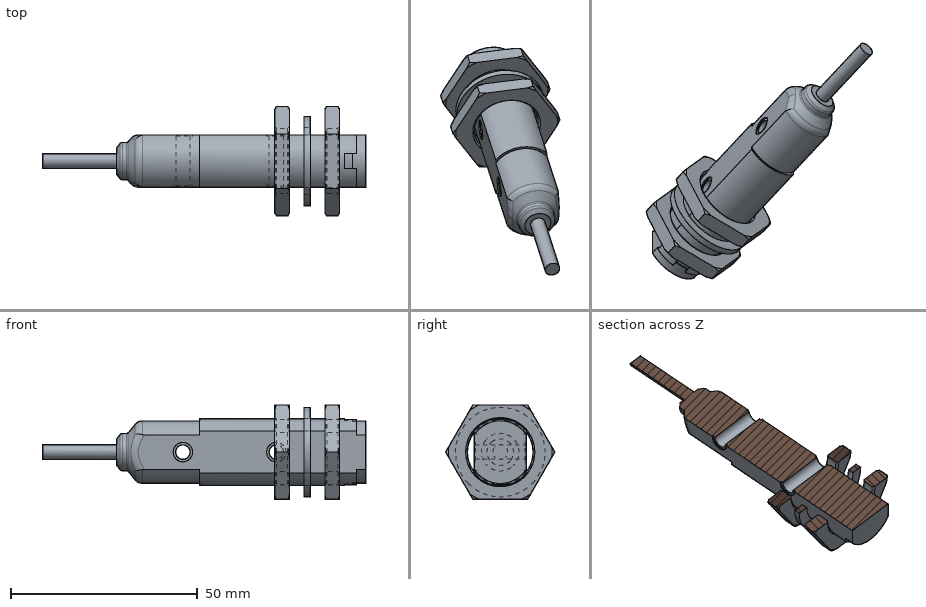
import cadquery as cq
import math

length = 86.6

pick_margin = 0.1

cable_d = 4.0
boot_start = 19.8
boot_face_d = 7.1
boot_d = 10.0
boot_chamfer_length = 1.1
boot_edge_r = 0.8
boot_end = 22.8
boot_root_r = 0.5

slim_d = 16.8
barrel_d = 18.0
shoulder_angle = 50.5
shoulder_r = 2.5
barrel_start = 42.1
tip_start = 84.1
width_over_flats = 14.0

cross_hole_d = 3.8
counterbore_d = 5.2
first_hole_x = 37.6
hole_spacing = 25.0
counterbore_depth = 0.35

keyway_width = 4.0
keyway_start = 80.9
keyway_step = 82.95
keyway_shallow_d = 17.5

hexagon_sides = 6
nut_thickness = 4.0
nut_across_flats = 25.4
nut_face_d = 27.7
nut_chamfer_angle = 30.0
nut_bore_d = 17.5
nut_bore_rim_d = 18.5
nut_starts = (62.2, 75.6)

washer_d = 24.0
washer_thickness = 1.7
washer_start = (nut_starts[0] + nut_thickness + nut_starts[1] - washer_thickness) / 2


def cylinder_x(diameter, start, end):
    """Cylinder along X between two X positions."""
    return cq.Workplane("YZ", origin=(start, 0, 0)).circle(diameter / 2).extrude(end - start)


def tube_x(outer_d, inner_d, start, end):
    """Ring along X between two X positions."""
    return cylinder_x(outer_d, start, end).cut(cylinder_x(inner_d, start, end))


def cylinder_y(diameter, x, start, end):
    """Cylinder along Y at an X position, between two Y positions."""
    return cq.Workplane("XZ", origin=(x, end, 0)).circle(diameter / 2).extrude(end - start)


def revolve_x(points):
    """Solid of revolution about the X axis from an (x, radius) outline."""
    return cq.Workplane("XY").polyline(points).close().revolve(360, (0, 0, 0), (1, 0, 0))


def circle_edge_at(x, diameter):
    """Selector box around one full circular edge at an X position."""
    reach = diameter / 2 + pick_margin
    low_corner = (x - pick_margin, -reach, -reach)
    high_corner = (x + pick_margin, reach, reach)
    return cq.selectors.BoxSelector(low_corner, high_corner, boundingbox=True)


def make_nut(start):
    """Hexagon nut with corners turned down on both faces and a chamfered bore."""
    corner_d = nut_across_flats / math.cos(math.pi / hexagon_sides)
    corner_drop = (corner_d - nut_face_d) / 2
    chamfer = corner_drop * math.tan(math.radians(nut_chamfer_angle))
    bore_rim = (nut_bore_rim_d - nut_bore_d) / 2
    end = start + nut_thickness
    hexagon = cq.Workplane("YZ", origin=(start, 0, 0)).polygon(hexagon_sides, corner_d).extrude(nut_thickness)
    turned = revolve_x([
        (start, 0),
        (start, nut_face_d / 2),
        (start + chamfer, corner_d / 2),
        (end - chamfer, corner_d / 2),
        (end, nut_face_d / 2),
        (end, 0),
    ])
    bore = revolve_x([
        (start, 0),
        (start, nut_bore_rim_d / 2),
        (start + bore_rim, nut_bore_d / 2),
        (end - bore_rim, nut_bore_d / 2),
        (end, nut_bore_rim_d / 2),
        (end, 0),
    ])
    return hexagon.intersect(turned).cut(bore)


def make_washer():
    """Plain washer that slides on the barrel."""
    return tube_x(washer_d, barrel_d, washer_start, washer_start + washer_thickness)


def make_barrel():
    """Stepped barrel with a conical, rounded rear shoulder and two side flats."""
    shoulder_length = (slim_d - boot_d) / 2 / math.tan(math.radians(shoulder_angle))
    shoulder_end = boot_end + shoulder_length
    rear = revolve_x([
        (boot_end, 0),
        (boot_end, boot_d / 2),
        (shoulder_end, slim_d / 2),
        (barrel_start, slim_d / 2),
        (barrel_start, 0),
    ])
    slab = cq.Workplane("XY").box(length, width_over_flats, barrel_d, centered=(False, True, True))
    rear = rear.intersect(slab)
    shoulder_rim = cq.selectors.BoxSelector(
        (boot_end + pick_margin, -barrel_d, -barrel_d),
        (shoulder_end + pick_margin, barrel_d, barrel_d),
        boundingbox=True,
    )
    rear = rear.edges(shoulder_rim).fillet(shoulder_r)
    front = cylinder_x(barrel_d, barrel_start, tip_start).union(cylinder_x(slim_d, tip_start, length))
    return rear.union(front.intersect(slab))


def make_boot():
    """Strain-relief boot with a rounded chamfer, carrying the cable."""
    chamfer_end = boot_start + boot_chamfer_length
    boot = revolve_x([
        (boot_start, 0),
        (boot_start, boot_face_d / 2),
        (chamfer_end, boot_d / 2),
        (boot_end, boot_d / 2),
        (boot_end, 0),
    ])
    boot = boot.edges(circle_edge_at(chamfer_end, boot_d)).fillet(boot_edge_r)
    return boot.union(cylinder_x(cable_d, 0, boot_start))


def make_cross_hole(x):
    """Hole along Y through the flats, with a shallow counterbore at both ends."""
    half = width_over_flats / 2
    hole = cylinder_y(cross_hole_d, x, -half, half)
    hole = hole.union(cylinder_y(counterbore_d, x, -half, -half + counterbore_depth))
    return hole.union(cylinder_y(counterbore_d, x, half - counterbore_depth, half))


def make_keyways():
    """Two-step keyway cutter, on top and bottom of the barrel at the tip."""
    steps = tube_x(barrel_d, keyway_shallow_d, keyway_start, keyway_step)
    steps = steps.union(tube_x(barrel_d, slim_d, keyway_step, tip_start))
    strip = cq.Workplane("XY").box(length, keyway_width, barrel_d, centered=(False, True, True))
    return steps.intersect(strip)


def make_sensor(nuts):
    """Sensor with its cable; the barrel is recessed to match the bore of each nut."""
    sensor = make_barrel().union(make_boot())
    sensor = sensor.edges(circle_edge_at(boot_end, boot_d)).fillet(boot_root_r)
    for x in (first_hole_x, first_hole_x + hole_spacing):
        sensor = sensor.cut(make_cross_hole(x))
    sensor = sensor.cut(make_keyways())
    for nut in nuts:
        sensor = sensor.cut(nut)
    return sensor


nuts = [make_nut(start) for start in nut_starts]
washer = make_washer()
sensor = make_sensor(nuts)

result = cq.Compound.makeCompound([sensor.val(), washer.val(), *[nut.val() for nut in nuts]])